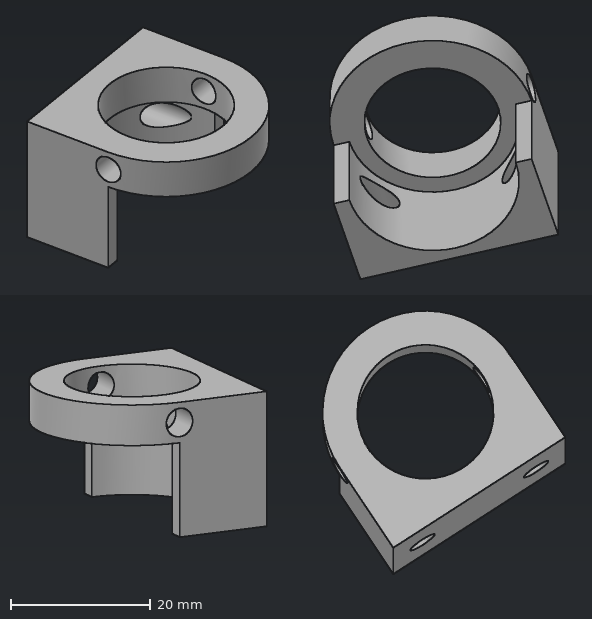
import cadquery as cq

width = 29.6
block_length = 14.15
block_height = 20.0
ring_thickness = 6.0
bore_diameter = 19.6
screw_diameter = 4.2
relief_diameter = 24.85
mount_spacing = 19.53

ring_radius = width / 2
ring_bottom = block_height - ring_thickness
ring_middle = block_height - ring_thickness / 2


def make_body():
    """Mounting block with a round ring flush with its top face."""
    block = cq.Workplane("XY").box(block_length, width, block_height, centered=(False, True, False))
    ring = (
        cq.Workplane("XY", origin=(block_length, 0, ring_bottom))
        .circle(ring_radius)
        .extrude(ring_thickness)
    )
    outer_half = cq.Workplane("XY", origin=(block_length, 0, 0)).box(
        ring_radius, width, block_height, centered=(False, True, False)
    )
    return block.union(ring.intersect(outer_half))


def make_bore():
    """Vertical bore through the ring, widened in the block below it."""
    axis = cq.Workplane("XY", origin=(block_length, 0, 0))
    bore = axis.circle(bore_diameter / 2).extrude(block_height)
    relief = axis.circle(relief_diameter / 2).extrude(ring_bottom)
    return bore.union(relief)


def make_mounting_holes():
    """Two holes along X through the block at half its height."""
    return (
        cq.Workplane("YZ", origin=(0, 0, block_height / 2))
        .pushPoints([(side * mount_spacing / 2, 0) for side in (-1, 1)])
        .circle(screw_diameter / 2)
        .extrude(block_length)
    )


def make_cross_hole():
    """Hole along Y through both walls of the ring, on the ring axis."""
    return (
        cq.Workplane("XZ", origin=(block_length, 0, ring_middle))
        .circle(screw_diameter / 2)
        .extrude(ring_radius, both=True)
    )


result = make_body().cut(make_bore()).cut(make_mounting_holes()).cut(make_cross_hole())